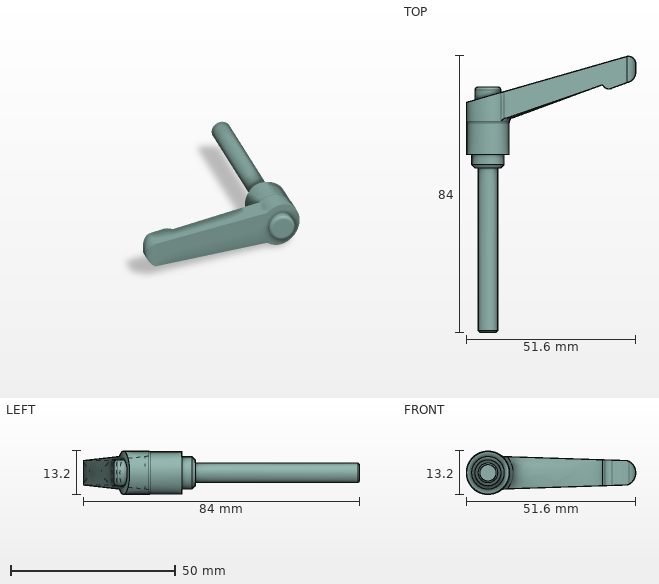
import cadquery as cq
import math

total_height = 84.0
collar_bottom = 50.0
hub_bottom = 54.1
hub_split = 63.7
boss_bottom = 64.2
head_top = 74.7

screw_radius = 6.0 / 2
screw_chamfer = 0.5
collar_radius = 4.95
collar_chamfer = 1.0
hub_radius = 6.5
boss_radius = 13.2 / 2
head_radius = 3.95
head_fillet = 1.0

total_length = 51.6
top_angle = 16.0
top_slope = math.tan(math.radians(top_angle))
lip_slope = math.tan(math.radians(20))
tip_x = total_length - boss_radius
cap_x = 42.35
shoulder_x = 42.4
tip_top_round = 2.35
tip_bottom_round = 3.2
notch_x = 34.8
notch_y = 75.3
lip_start_x = 35.5
lip_end_x = 37.7
lip_end_y = 74.3
lip_flank = 0.8
lip_depth = 1.3

blend_start_x = 3.95
blend_end_x = 4.95
blend_radius = 1.7
root_half_width = 4.95
cap_half_width = 7.5 / 2

root_ring_radius = 7.65
root_ring_y = 65.3


def top_y(x):
    """Height of the sloping top face."""
    return total_height + top_slope * (x - shoulder_x)


def half_width(x):
    """Half width of the tapering arm."""
    taper = (root_half_width - cap_half_width) / (cap_x - blend_end_x)
    return root_half_width - taper * (x - blend_end_x)


def circle_x(radius, z):
    return math.sqrt(radius**2 - z**2)


def cylinder(radius, bottom, top):
    """Cylinder on the screw axis."""
    return cq.Workplane("XZ", origin=(0, bottom, 0)).circle(radius).extrude(bottom - top)


def lever_side():
    """Side outline of the arm, with solid material left below the underside."""
    tip_bottom_y = lip_end_y + lip_slope * (tip_x - lip_end_x)
    lip_middle = ((lip_start_x + lip_end_x) / 2, notch_y - lip_depth)
    side = (
        cq.Workplane("XY", origin=(0, 0, -boss_radius))
        .moveTo(0, hub_split)
        .lineTo(boss_radius, hub_split)
        .lineTo(notch_x, notch_y)
        .lineTo(lip_start_x, notch_y - lip_flank)
        .threePointArc(lip_middle, (lip_end_x, lip_end_y))
        .lineTo(tip_x, tip_bottom_y)
        .lineTo(tip_x, total_height)
        .lineTo(shoulder_x, total_height)
        .lineTo(0, top_y(0))
        .close()
        .extrude(2 * boss_radius)
    )
    return (
        side.edges("|Z and >X and >Y").fillet(tip_top_round)
        .edges("|Z").edges(cq.selectors.NearestToPointSelector((tip_x, tip_bottom_y, 0)))
        .fillet(tip_bottom_round)
    )


def lever_plan():
    """Plan outline of the arm: side blends, straight taper and rounded tip."""
    blend_start_z = math.sqrt(boss_radius**2 - blend_start_x**2)
    return (
        cq.Workplane("XZ")
        .moveTo(0, -blend_start_z)
        .lineTo(blend_start_x, -blend_start_z)
        .radiusArc((blend_end_x, -root_half_width), blend_radius)
        .lineTo(cap_x, -cap_half_width)
        .threePointArc((tip_x, 0), (cap_x, cap_half_width))
        .lineTo(blend_end_x, root_half_width)
        .radiusArc((blend_start_x, blend_start_z), blend_radius)
        .lineTo(0, blend_start_z)
        .close()
        .extrude(-2 * total_height)
    )


def underside_cut():
    """Space below a ruled surface from the arc round the hub to the straight notch edge."""
    arc_z = boss_radius
    arc_x = circle_x(root_ring_radius, arc_z)
    notch_z = half_width(notch_x) * arc_z / root_half_width
    arc = cq.Edge.makeThreePointArc(
        cq.Vector(arc_x, root_ring_y, -arc_z),
        cq.Vector(root_ring_radius, root_ring_y, 0),
        cq.Vector(arc_x, root_ring_y, arc_z),
    )
    notch_edge = cq.Edge.makeLine(
        cq.Vector(notch_x, notch_y, -notch_z), cq.Vector(notch_x, notch_y, notch_z)
    )
    surface = cq.Face.makeRuledSurface(arc, notch_edge)
    return cq.Workplane(cq.Solid.extrudeLinear(surface, cq.Vector(0, -total_height, 0)))


def root_blend_cut():
    """Ring-shaped space below the concave blend round the hub."""
    radius_step = root_ring_radius - boss_radius
    height_step = root_ring_y - boss_bottom
    middle = math.sqrt(0.5)
    arc_middle = (root_ring_radius - radius_step * middle, boss_bottom + height_step * middle)
    return (
        cq.Workplane("XY")
        .moveTo(boss_radius, boss_bottom)
        .threePointArc(arc_middle, (root_ring_radius, root_ring_y))
        .lineTo(root_ring_radius, hub_bottom)
        .lineTo(boss_radius, hub_bottom)
        .close()
        .revolve(360, (0, 0, 0), (0, 1, 0))
    )


def lever_arm():
    arm = lever_side().intersect(lever_plan())
    arm = arm.cut(underside_cut()).cut(root_blend_cut())
    return arm.cut(cylinder(boss_radius, 0, boss_bottom))


def boss():
    """Upper hub, cut off by the same slope as the top of the arm."""
    above_slope = (
        cq.Workplane("XY", origin=(0, 0, -boss_radius))
        .moveTo(-boss_radius, top_y(-boss_radius))
        .lineTo(boss_radius, top_y(boss_radius))
        .lineTo(boss_radius, total_height)
        .lineTo(-boss_radius, total_height)
        .close()
        .extrude(2 * boss_radius)
    )
    return cylinder(boss_radius, boss_bottom, total_height).cut(above_slope)


def hub_and_screw():
    """Turned profile: screw, collar, lower hub and the bevel up to the boss."""
    return (
        cq.Workplane("XY")
        .moveTo(0, 0)
        .lineTo(screw_radius - screw_chamfer, 0)
        .lineTo(screw_radius, screw_chamfer)
        .lineTo(screw_radius, collar_bottom)
        .lineTo(collar_radius - collar_chamfer, collar_bottom)
        .lineTo(collar_radius, collar_bottom + collar_chamfer)
        .lineTo(collar_radius, hub_bottom)
        .lineTo(hub_radius, hub_bottom)
        .lineTo(hub_radius, hub_split)
        .lineTo(boss_radius, boss_bottom)
        .lineTo(0, boss_bottom)
        .close()
        .revolve(360, (0, 0, 0), (0, 1, 0))
    )


screw_head = cylinder(head_radius, boss_bottom, head_top).faces(">Y").edges().fillet(head_fillet)

result = hub_and_screw().union(boss()).union(lever_arm()).union(screw_head)